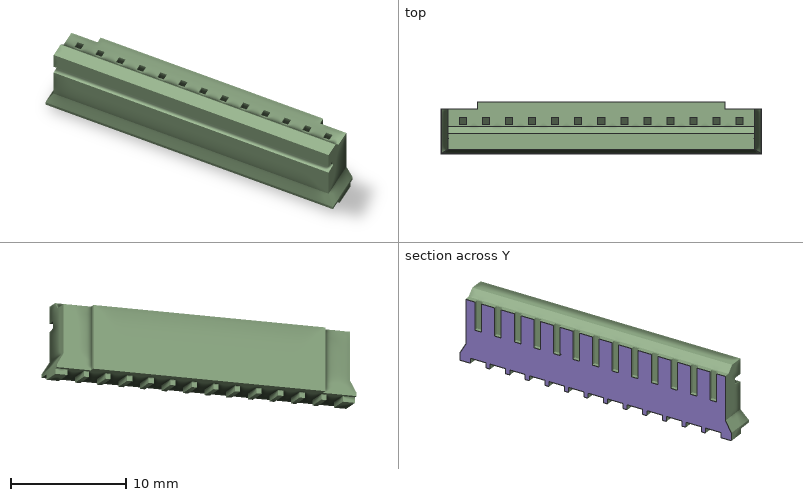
import cadquery as cq

length = 27.8
depth = 4.5
height = 6.85

foot_height = 0.5
base_edge_top = 0.78
flare_top = 1.83
rear_top = 6.23

flare_end = 0.6
flare_front = 0.4
body_length = length - 2 * flare_end
front_base = -depth / 2
front_face = front_base + flare_front

rib_length = 21.52
rib_depth = 0.6
rib_back = depth / 2
body_back = rib_back - rib_depth

ridge_rise = height - rear_top
slope_foot = 0.1
slope_crest = slope_foot - ridge_rise

groove_depth = 0.92
groove_back = front_face + groove_depth
groove_top = 5.3
groove_floor_back = 4.7
groove_floor_front = 4.55

contact_count = 13
pitch = 2.0
cavity_size = 0.6
cavity_depth = 2.78
cavity_y = 0.58
foot_gap = 1.53
foot_depth = 2.17
foot_y = 0.15


def contact_positions():
    """Centres of the evenly spaced contacts along the length."""
    first_x = -pitch * (contact_count - 1) / 2
    return [first_x + index * pitch for index in range(contact_count)]


def block(size_x, size_y, size_z, x, y, bottom):
    """Box centred on x and y, standing on the given level."""
    box = cq.Workplane("XY").box(size_x, size_y, size_z, centered=(True, True, False))
    return box.translate((x, y, bottom))


def make_body():
    """Constant cross-section in YZ, running between the flared ends."""
    section = [
        (front_face, foot_height),
        (body_back, foot_height),
        (body_back, rear_top),
        (slope_foot, rear_top),
        (slope_crest, height),
        (front_face, height),
        (front_face, groove_top),
        (groove_back, groove_top),
        (groove_back, groove_floor_back),
        (front_face, groove_floor_front),
    ]
    return cq.Workplane("YZ").polyline(section).close().extrude(body_length / 2, both=True)


def make_base():
    """Flat-edged base that tapers up to the body at the front and both ends."""
    base_depth = body_back - front_base
    body_depth = body_back - front_face
    edge_height = base_edge_top - foot_height
    base_y = (body_back + front_base) / 2
    body_y = (body_back + front_face) / 2
    edge = block(length, base_depth, edge_height, 0, base_y, foot_height)
    flare = (
        cq.Workplane("XY", origin=(0, 0, base_edge_top))
        .center(0, base_y)
        .rect(length, base_depth)
        .workplane(offset=flare_top - base_edge_top)
        .center(0, body_y - base_y)
        .rect(body_length, body_depth)
        .loft(ruled=True)
    )
    return edge.union(flare)


def make_rear_rib():
    """Shorter rib standing out from the back of the body."""
    return block(
        rib_length, rib_depth, rear_top - foot_height,
        0, (rib_back + body_back) / 2, foot_height,
    )


def make_feet():
    """Full-length strip divided into feet by a gap under every contact."""
    feet = block(length, foot_depth, foot_height, 0, foot_y, 0)
    for x in contact_positions():
        feet = feet.cut(block(foot_gap, foot_depth, foot_height, x, foot_y, 0))
    return feet


def cut_cavities(housing):
    """Blind square contact cavities, open at the top."""
    for x in contact_positions():
        cavity = block(
            cavity_size, cavity_size, cavity_depth,
            x, cavity_y, rear_top - cavity_depth,
        )
        housing = housing.cut(cavity)
    return housing


housing = make_body().union(make_base()).union(make_rear_rib()).union(make_feet())
result = cut_cavities(housing)